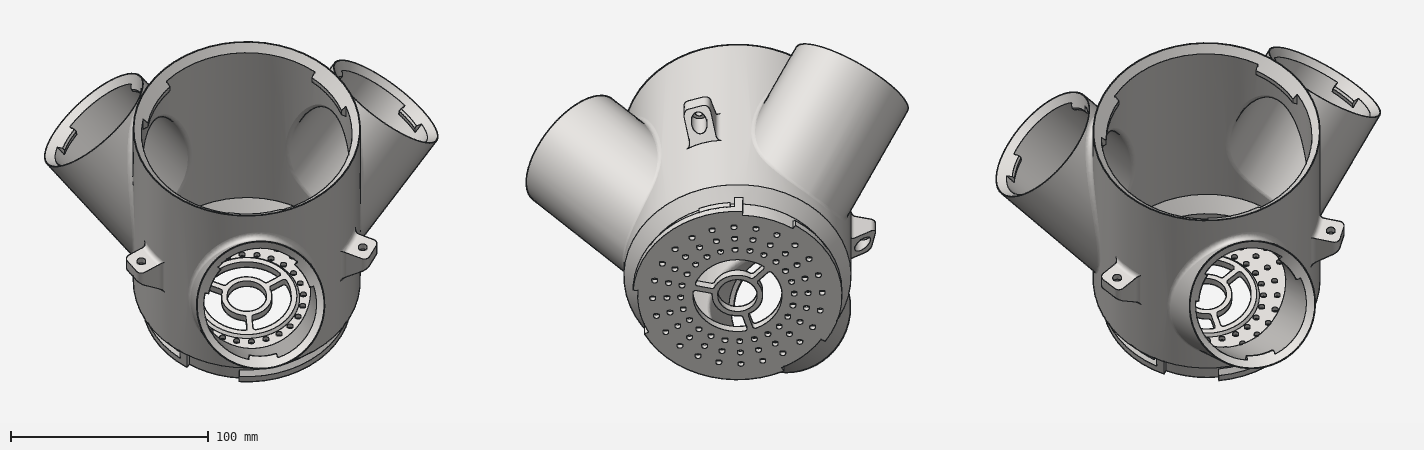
import cadquery as cq
import math

overall_width = 199.5
height = 136.5
wall = 4.2
body_radius = 57.5
neck_radius = 50.5
body_bottom = 16.5
lip_radius = 52.9
lip_height = 4.2
branch_radius = 32.5
branch_bore_radius = 28.5
branch_mouth_height = 99.5
branch_tilt = 45.0
branch_root = 89.8
root_fillet = 2.4
inner_root_fillet = 2.4
rim_land = 0.4
floor_thickness = 3.0
branch_angles = [90, 210, 330]
lug_angles = [30, 150, 270]
post_angles = [48, 168, 288]

bore_radius = body_radius - wall
neck_bore_radius = neck_radius - wall
neck_top = body_bottom - (body_radius - neck_radius)
lip_chamfer = lip_radius - neck_radius
cone_offset = wall * (math.sqrt(2) - 1)

branch_azimuth = math.radians(branch_angles[2])
mouth_normal_x = math.sin(math.radians(branch_tilt)) * math.cos(branch_azimuth)
mouth_half_width = branch_radius * math.sqrt(1 - mouth_normal_x ** 2)
branch_reach = (overall_width / 2 - mouth_half_width) / math.cos(branch_azimuth)

post_half_angle = 2.3
post_top = 12.0
lip_sweep = 87.0
bump_radius = 51.0
bump_bottom = 6.0
bump_top = 10.4
bump_start = 4.0
bump_sweep = 20.0
bump_ramp = 1.0

tab_half_angle = 15.0
body_tab_radius = 50.9
branch_tab_radius = 26.5
tab_angles = [0, 120, 240]
body_tab_edge = 3.2
branch_tab_edge = 1.5

lug_width = 14.0
lug_reach = 70.7
lug_top = 76.2
lug_edge_bottom = 69.0
lug_corner = 3.0
lug_fillet = 2.4
lug_hole_reach = 64.9
lug_hole_diameter = 4.4
lug_recess_diameter = 8.0
lug_plate = 4.0
selection_margin = 0.2

drain_rings = [28.7, 35.7, 43.0]
drains_per_ring = 24
drain_diameter = 3.0
floor_fillet = 1.5
hub_step_radius = 26.7
hub_step = 1.4
window_outer_radius = 22.5
window_inner_radius = 12.8
window_corner = 1.4
hub_hole_radius = 10.0
spoke_width = 3.0
hub_top = floor_thickness + hub_step


def revolve(points):
    """Turn a closed (radius, height) outline around Z."""
    solid = cq.Workplane("XZ").polyline(points).close().revolve(360, (0, 0), (0, 1))
    return solid.rotate((0, 0, 0), (0, 0, 1), -90)


def sector(start, sweep, low, high):
    """Wedge around Z used to keep only an angular part of a ring."""
    middle = math.radians(start + sweep / 2)
    far = overall_width / math.cos(math.radians(sweep / 2))
    corners = [(0, 0)]
    for angle in (math.radians(start), middle, math.radians(start + sweep)):
        corners.append((far * math.cos(angle), far * math.sin(angle)))
    return cq.Workplane("XY").workplane(offset=low).polyline(corners).close().extrude(high - low)


def in_branch(shape, angle):
    """Move a shape whose mouth faces up at Z=0 to the mouth of a branch."""
    shape = shape.rotate((0, 0, 0), (0, 1, 0), branch_tilt)
    shape = shape.translate((branch_reach, 0, branch_mouth_height))
    return shape.rotate((0, 0, 0), (0, 0, 1), angle)


def mouth_tabs(outer, inner, land_edge, mouth, edge_height):
    """Three blocks in a mouth, each with an underside sloping outward and down at 45 degrees."""
    inner_bottom = mouth - (land_edge - inner) - edge_height
    ring = revolve([
        (inner, mouth),
        (outer, mouth),
        (outer, inner_bottom - (outer - inner)),
        (inner, inner_bottom),
    ])
    wedges = cq.Workplane("XY")
    for angle in tab_angles:
        wedge = sector(-tab_half_angle, 2 * tab_half_angle, mouth - land_edge, mouth)
        wedges = wedges.union(wedge.rotate((0, 0, 0), (0, 0, 1), angle))
    return ring.intersect(wedges)


def countersink(land_edge, mouth):
    """45 degree cone that opens a mouth, leaving a thin flat land around it."""
    return revolve([(0, mouth), (land_edge, mouth), (0, mouth - land_edge)])


def arc_block(inner, outer, start, end, low, high, ramp=0.0):
    """Curved block between two radii; its ends lean in by the ramp angle at the outer radius."""
    def at(radius, degrees):
        angle = math.radians(degrees)
        return (radius * math.cos(angle), radius * math.sin(angle))

    middle = (start + end) / 2
    return (
        cq.Workplane("XY").workplane(offset=low)
        .moveTo(*at(inner, start))
        .lineTo(*at(outer, start + ramp))
        .threePointArc(at(outer, middle), at(outer, end - ramp))
        .lineTo(*at(inner, end))
        .threePointArc(at(inner, middle), at(inner, start))
        .close().extrude(high - low)
    )


def bayonet():
    """Lip, snap bump and end post of one bayonet, with the post pointing along +X."""
    seat = neck_radius - wall / 2
    lip = revolve([
        (seat, 0),
        (lip_radius, 0),
        (lip_radius, lip_height),
        (neck_radius, lip_height + lip_chamfer),
        (seat, lip_height + lip_chamfer),
    ])
    unit = lip.intersect(sector(-lip_sweep, lip_sweep, 0, post_top))
    unit = unit.union(arc_block(seat, lip_radius, -post_half_angle, post_half_angle, 0, post_top))
    bump = arc_block(
        seat, bump_radius, -bump_start - bump_sweep, -bump_start, bump_bottom, bump_top, bump_ramp)
    return unit.union(bump)


def lug():
    """Screw lug pointing along +X, with a 45 degree underside and a recess for the screw head."""
    root = body_radius - wall / 2
    depth = lug_top - lug_edge_bottom + lug_reach - root
    bottom = lug_top - depth
    block = (
        cq.Workplane("XY").workplane(offset=bottom)
        .center((root + lug_reach) / 2, 0).rect(lug_reach - root, lug_width).extrude(depth)
        .edges("|Z and >X").fillet(lug_corner)
    )
    core = (
        cq.Workplane("XY").workplane(offset=bottom - lug_width)
        .circle(body_radius).extrude(depth + 2 * lug_width)
    )
    seat = cq.selectors.BoxSelector(
        (root, -lug_width, bottom + selection_margin),
        (body_radius + selection_margin, lug_width, lug_top + selection_margin),
    )
    joined = core.union(block).edges(seat).fillet(lug_fillet)
    underside = (
        cq.Workplane("XZ")
        .polyline([(lug_reach, lug_edge_bottom), (root, bottom), (lug_reach, bottom)])
        .close().extrude(lug_width, both=True)
    )
    hole = (
        cq.Workplane("XY").workplane(offset=bottom).center(lug_hole_reach, 0)
        .circle(lug_hole_diameter / 2).extrude(depth)
    )
    recess = (
        cq.Workplane("XY").workplane(offset=bottom).center(lug_hole_reach, 0)
        .circle(lug_recess_diameter / 2).extrude(depth - lug_plate)
    )
    return joined.cut(underside).cut(hole).cut(recess)


def outer_shell():
    """Solid outside form: body, spigot, branches and lugs with rounded roots."""
    body = revolve([
        (0, 0),
        (neck_radius, 0),
        (neck_radius, neck_top),
        (body_radius, body_bottom),
        (body_radius, height),
        (0, height),
    ])
    branch = cq.Workplane("XY").circle(branch_radius).extrude(-branch_root)
    for angle in branch_angles:
        body = body.union(in_branch(branch, angle))
    body = body.edges("not(%LINE or %CIRCLE)").fillet(root_fillet)
    for angle in post_angles:
        body = body.union(bayonet().rotate((0, 0, 0), (0, 0, 1), angle))
    for angle in lug_angles:
        body = body.union(lug().rotate((0, 0, 0), (0, 0, 1), angle))
    return body


def cavity():
    """Whole inside: main bore above the strainer floor joined by the branch bores."""
    cone_top = body_bottom + cone_offset
    cone_bottom = neck_top + cone_offset
    space = revolve([
        (0, floor_thickness),
        (neck_bore_radius, floor_thickness),
        (neck_bore_radius, cone_bottom),
        (bore_radius, cone_top),
        (bore_radius, height),
        (0, height),
    ])
    space = space.faces("<Z").edges().fillet(floor_fillet)
    branch = cq.Workplane("XY").circle(branch_bore_radius).extrude(-branch_root)
    for angle in branch_angles:
        space = space.union(in_branch(branch, angle))
    space = space.edges("not(%LINE or %CIRCLE)").fillet(inner_root_fillet)

    land_edge = body_radius - rim_land
    tabs = mouth_tabs(body_radius, body_tab_radius, land_edge, height, body_tab_edge)
    space = space.cut(tabs.rotate((0, 0, 0), (0, 0, 1), branch_angles[0]))
    space = space.union(countersink(land_edge, height))

    land_edge = branch_radius - rim_land
    tabs = mouth_tabs(branch_radius, branch_tab_radius, land_edge, 0, branch_tab_edge)
    cone = countersink(land_edge, 0)
    for angle in branch_angles:
        space = space.cut(in_branch(tabs, angle))
        space = space.union(in_branch(cone, angle))
    return space


def window(start):
    """One of the three ring sector openings of the hub, its ends parallel to the spokes."""
    ring = cq.Workplane("XY").circle(window_outer_radius).circle(window_inner_radius)
    third = sector(start, 120, 0, hub_top)
    for side in (start, start + 120):
        spoke = cq.Workplane("XY").rect(2 * window_outer_radius, spoke_width).extrude(hub_top)
        third = third.cut(spoke.rotate((0, 0, 0), (0, 0, 1), side))
    return ring.extrude(hub_top).intersect(third).edges("|Z").fillet(window_corner)


result = outer_shell().cut(cavity())

hub = cq.Workplane("XY").workplane(offset=floor_thickness).circle(hub_step_radius)
hub = hub.workplane(offset=hub_step).circle(hub_step_radius - hub_step).loft(ruled=True)
result = result.union(hub)
for angle in branch_angles:
    result = result.cut(window(angle))
result = result.cut(cq.Workplane("XY").circle(hub_hole_radius).extrude(hub_top))

for ring_radius in drain_rings:
    drains = cq.Workplane("XY").polarArray(ring_radius, 0, 360, drains_per_ring)
    result = result.cut(drains.circle(drain_diameter / 2).extrude(floor_thickness))